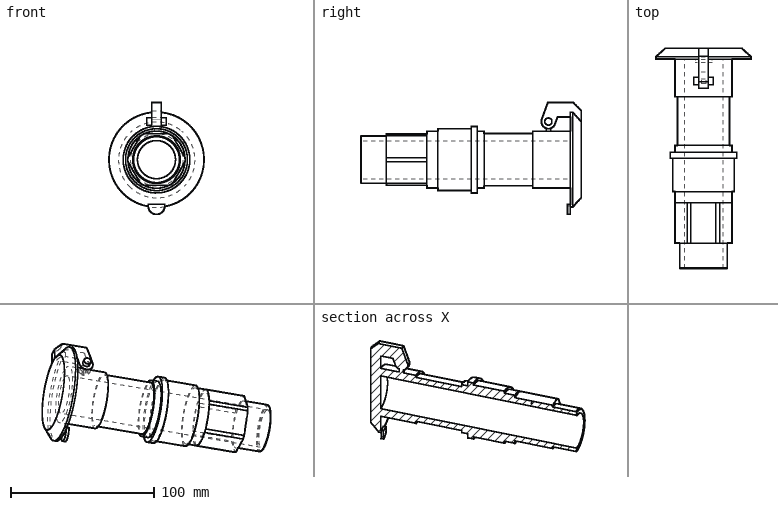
import cadquery as cq
import math

MODULE = 3.325
TOTAL_LENGTH = 154.0

BORE_DIAMETER = 8 * MODULE
PIPE_DIAMETER = 10 * MODULE
NECK_DIAMETER = 11 * MODULE
COLLAR_DIAMETER = 12 * MODULE
SLEEVE_DIAMETER = 13 * MODULE
FLANGE_DIAMETER = 14 * MODULE
HEX_ACROSS_FLATS = 36.0
PIPE_CHAMFER = 0.6

PIPE_LENGTH = 18.0
HEX_LENGTH = 28.2
LOWER_COLLAR_LENGTH = 7.7
SLEEVE_LENGTH = 23.1
FLANGE_LENGTH = 4.45
UPPER_COLLAR_LENGTH = 4.65
NECK_LENGTH = 33.9

LID_DIAMETER = 20 * MODULE
LID_FACE_DIAMETER = 16 * MODULE
LID_RIM_THICKNESS = 1.7
LID_CONE_HEIGHT = 6.0
LID_BACK_Y = TOTAL_LENGTH - LID_CONE_HEIGHT - LID_RIM_THICKNESS

ARM_WIDTH = 2 * MODULE
ARM_TOP_Z = 12 * MODULE
ARM_UNDERSIDE_Z = 29.7
ARM_CHAMFER = 5.7
ARM_LEAN_DEGREES = 20.0
KNUCKLE_RADIUS = 1.5 * MODULE
PIN_Y = TOTAL_LENGTH - 23.0
PIN_Z = 8 * MODULE
PIN_DIAMETER = 1.5 * MODULE
PIN_LENGTH = 4 * MODULE
POST_WIDTH = MODULE

TAB_RADIUS = 1.75 * MODULE
TAB_BOTTOM_Z = -11.5 * MODULE
TAB_TOP_Z = -31.2
TAB_THICKNESS = 2.0


def cylinder_along_y(diameter, start_y, length):
    """Round section centred on the Y axis."""
    plane = cq.Workplane("XZ", origin=(0, start_y, 0))
    return plane.circle(diameter / 2).extrude(-length)


def hexagonal_prism(across_flats, start_y, turn_degrees):
    """Hexagonal prism along Y; turned by 0 degrees it has flats facing up and down."""
    across_corners = across_flats / math.cos(math.radians(30))
    plane = cq.Workplane("XZ", origin=(0, start_y, 0))
    prism = plane.polygon(6, across_corners).extrude(-HEX_LENGTH)
    return prism.rotate((0, 0, 0), (0, 1, 0), turn_degrees)


def make_hex_section(start_y):
    """Spanner hexagon, its corners cut flat and level with the collar diameter."""
    hexagon = hexagonal_prism(HEX_ACROSS_FLATS, start_y, 0)
    corner_limit = hexagonal_prism(COLLAR_DIAMETER, start_y, 30)
    return hexagon.intersect(corner_limit)


def make_barrel():
    """Stepped barrel from the pipe end up to the back of the lid."""
    pipe = cylinder_along_y(PIPE_DIAMETER, 0, PIPE_LENGTH)
    pipe = pipe.faces("<Y").chamfer(PIPE_CHAMFER)
    barrel = pipe.union(make_hex_section(PIPE_LENGTH))

    section_y = PIPE_LENGTH + HEX_LENGTH
    sections = [
        (COLLAR_DIAMETER, LOWER_COLLAR_LENGTH),
        (SLEEVE_DIAMETER, SLEEVE_LENGTH),
        (FLANGE_DIAMETER, FLANGE_LENGTH),
        (COLLAR_DIAMETER, UPPER_COLLAR_LENGTH),
        (NECK_DIAMETER, NECK_LENGTH),
    ]
    for diameter, length in sections:
        barrel = barrel.union(cylinder_along_y(diameter, section_y, length))
        section_y += length

    head = cylinder_along_y(COLLAR_DIAMETER, section_y, LID_BACK_Y - section_y)
    return barrel.union(head)


def make_lid():
    """Disc with a short straight rim and a conical outer side."""
    rim_end_y = LID_BACK_Y + LID_RIM_THICKNESS
    profile = (
        cq.Workplane("XY")
        .moveTo(0, LID_BACK_Y)
        .lineTo(LID_DIAMETER / 2, LID_BACK_Y)
        .lineTo(LID_DIAMETER / 2, rim_end_y)
        .lineTo(LID_FACE_DIAMETER / 2, TOTAL_LENGTH)
        .lineTo(0, TOTAL_LENGTH)
        .close()
    )
    return profile.revolve(360, (0, 0, 0), (0, 1, 0))


def make_hinge_arm():
    """Arm hooked over the lid, its leaning leg ending in a round knuckle around the pin."""
    lean = math.radians(ARM_LEAN_DEGREES)
    tangent_y = KNUCKLE_RADIUS * math.cos(lean)
    tangent_z = KNUCKLE_RADIUS * math.sin(lean)
    outer_y = PIN_Y - tangent_y
    outer_z = PIN_Z + tangent_z
    inner_y = PIN_Y + tangent_y
    inner_z = PIN_Z - tangent_z
    outer_top_y = outer_y + (ARM_TOP_Z - outer_z) * math.tan(lean)
    inner_top_y = inner_y + (ARM_UNDERSIDE_Z - inner_z) * math.tan(lean)
    knuckle_low_y = PIN_Y - KNUCKLE_RADIUS * math.sin(lean)
    knuckle_low_z = PIN_Z - KNUCKLE_RADIUS * math.cos(lean)

    hook_bottom_z = LID_FACE_DIAMETER / 2
    return (
        cq.Workplane("YZ")
        .moveTo(outer_top_y, ARM_TOP_Z)
        .lineTo(TOTAL_LENGTH - ARM_CHAMFER, ARM_TOP_Z)
        .lineTo(TOTAL_LENGTH, ARM_TOP_Z - ARM_CHAMFER)
        .lineTo(TOTAL_LENGTH, hook_bottom_z)
        .lineTo(LID_BACK_Y, hook_bottom_z)
        .lineTo(LID_BACK_Y, ARM_UNDERSIDE_Z)
        .lineTo(inner_top_y, ARM_UNDERSIDE_Z)
        .lineTo(inner_y, inner_z)
        .threePointArc((knuckle_low_y, knuckle_low_z), (outer_y, outer_z))
        .close()
        .extrude(ARM_WIDTH / 2, both=True)
    )


def make_hinge_pin():
    """Cross pin standing out on both sides of the knuckle."""
    plane = cq.Workplane("YZ", origin=(0, PIN_Y, PIN_Z))
    return plane.circle(PIN_DIAMETER / 2).extrude(PIN_LENGTH / 2, both=True)


def make_hinge_post():
    """Short square post joining the knuckle to the barrel, rooted inside both."""
    root_z = BORE_DIAMETER / 2 + MODULE
    plane = cq.Workplane("XY", origin=(0, PIN_Y, root_z))
    return plane.rect(POST_WIDTH, POST_WIDTH).extrude(PIN_Z - root_z)


def make_thumb_tab():
    """Rounded tab against the back of the lid, hanging below its rim."""
    centre_z = TAB_BOTTOM_Z + TAB_RADIUS
    return (
        cq.Workplane("XZ", origin=(0, LID_BACK_Y, 0))
        .moveTo(-TAB_RADIUS, TAB_TOP_Z)
        .lineTo(TAB_RADIUS, TAB_TOP_Z)
        .lineTo(TAB_RADIUS, centre_z)
        .threePointArc((0, TAB_BOTTOM_Z), (-TAB_RADIUS, centre_z))
        .close()
        .extrude(TAB_THICKNESS)
    )


def make_bore():
    """Bore from the pipe end to the back of the lid."""
    return cylinder_along_y(BORE_DIAMETER, 0, LID_BACK_Y)


result = (
    make_barrel()
    .union(make_lid())
    .union(make_hinge_arm())
    .union(make_hinge_pin())
    .union(make_hinge_post())
    .union(make_thumb_tab())
    .cut(make_bore())
)